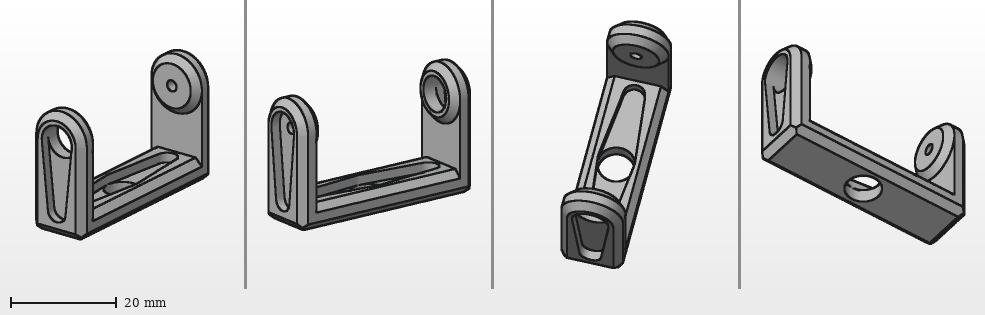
import cadquery as cq
import math

width = 12.0
length = 41.0
base_height = 5.0
arm_thickness = 3.5
chamfer = 1.5

pivot_height = 19.0
arm_radius = width / 2
boss_height = 1.5
pivot_hole_radius = 1.1

large_radius = 3.55
small_radius = 2.1
recess_reach = 14.0
recess_depth = 2.0

inner_half_length = length / 2 - arm_thickness


def arm_plane(distance):
    """Plane at Y = -distance, centred on the pivot axis and facing +Y, with local x along -X."""
    return cq.Plane(origin=(0, -distance, pivot_height), xDir=(-1, 0, 0), normal=(0, 1, 0))


def tapered_recess(plane, direction, depth):
    """Two circles joined by their common tangents; direction is +1 or -1 along the plane's local y."""
    sine = (large_radius - small_radius) / recess_reach
    cosine = math.sqrt(1 - sine**2)
    large_x = large_radius * cosine
    large_y = direction * large_radius * sine
    small_x = small_radius * cosine
    small_y = direction * (recess_reach + small_radius * sine)
    return (
        cq.Workplane(plane)
        .moveTo(large_x, large_y)
        .lineTo(small_x, small_y)
        .threePointArc((0, direction * (recess_reach + small_radius)), (-small_x, small_y))
        .lineTo(-large_x, large_y)
        .threePointArc((0, -direction * large_radius), (large_x, large_y))
        .close()
        .extrude(depth)
    )


def make_outer_block():
    """Full-length block with a rounded top, chamfered around both ends and along the bottom."""
    block = (
        cq.Workplane(arm_plane(length / 2))
        .moveTo(arm_radius, 0)
        .threePointArc((0, arm_radius), (-arm_radius, 0))
        .lineTo(-arm_radius, -pivot_height)
        .lineTo(arm_radius, -pivot_height)
        .close()
        .extrude(length)
        .faces("<Y or >Y")
        .chamfer(chamfer)
    )
    overall_height = pivot_height + arm_radius
    bottom_bevel = (
        cq.Workplane("XY")
        .box(width, length, overall_height, centered=(True, True, False))
        .edges("|Y and <Z")
        .chamfer(chamfer)
    )
    return block.intersect(bottom_bevel)


def make_cavity():
    """Space between the arms, with a floor that slopes down to both long sides."""
    cavity_top = pivot_height + 2 * arm_radius
    shoulder_height = base_height - chamfer
    flat_half_width = width / 2 - chamfer
    return (
        cq.Workplane("XZ", origin=(0, inner_half_length, 0))
        .polyline([
            (-width / 2, shoulder_height),
            (-flat_half_width, base_height),
            (flat_half_width, base_height),
            (width / 2, shoulder_height),
            (width / 2, cavity_top),
            (-width / 2, cavity_top),
        ])
        .close()
        .extrude(2 * inner_half_length)
    )


def make_boss():
    """Conical boss on the inner face of the -Y arm, narrowing at 45 degrees."""
    boss_taper = 45
    return (
        cq.Workplane(arm_plane(inner_half_length))
        .circle(arm_radius)
        .extrude(boss_height, taper=boss_taper)
    )


def make_arm_hole(side, radius):
    """Hole through the whole thickness of one arm and its boss; side is -1 or +1 along Y."""
    hole_length = arm_thickness + boss_height
    hole_start = cq.Vector(0, side * length / 2, pivot_height)
    inward = cq.Vector(0, -side, 0)
    return cq.Workplane(cq.Solid.makeCylinder(radius, hole_length, hole_start, inward))


def make_base_cuts():
    """Central through hole with a tapered recess running towards each arm."""
    floor_plane = cq.Plane(origin=(0, 0, base_height - recess_depth))
    cuts = cq.Workplane("XY").circle(large_radius).extrude(base_height)
    for direction in (1, -1):
        cuts = cuts.union(tapered_recess(floor_plane, direction, recess_depth))
    return cuts


boss = make_boss()
arm_recess = tapered_recess(arm_plane(length / 2), -1, recess_depth)

bracket = make_outer_block().cut(make_cavity())
bracket = bracket.union(boss).union(boss.mirror("XZ"))
bracket = bracket.cut(arm_recess).cut(arm_recess.mirror("XZ"))
bracket = bracket.cut(make_arm_hole(-1, large_radius))
bracket = bracket.cut(make_arm_hole(1, pivot_hole_radius))
result = bracket.cut(make_base_cuts())